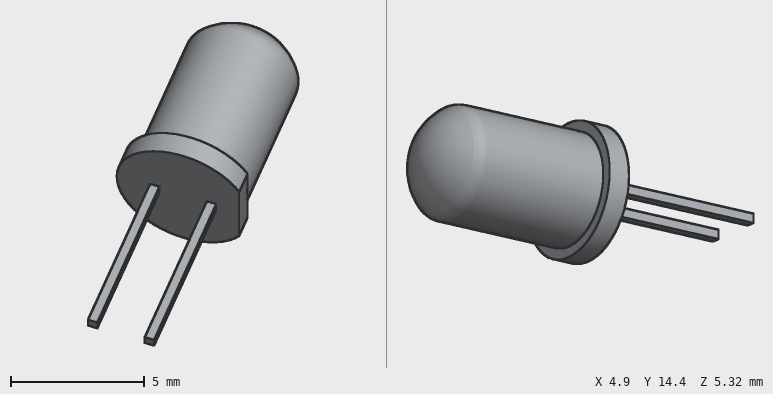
import cadquery as cq

total_length = 14.37

lead_length = 6.64
lead_width = 0.37
lead_spacing = 2.27

flange_diameter = 5.32
flange_thickness = 0.89

body_diameter = 4.48
body_length = 5.32

shoulder_height = 0.47
cap_base_radius = 2.07

body_radius = body_diameter / 2
flange_radius = flange_diameter / 2
flat_x = body_radius

body_end = flange_thickness + body_length
cap_base = body_end + shoulder_height
tip = total_length - lead_length


def make_flange():
    """Disc with a flat on its +X side."""
    disc = cq.Workplane("XZ").circle(flange_radius).extrude(-flange_thickness)
    kept_width = flange_radius + flat_x
    keep = cq.Workplane("XY").box(
        kept_width, flange_thickness, flange_diameter, centered=(False, False, True)
    )
    return disc.intersect(keep.translate((-flange_radius, 0, 0)))


def make_body():
    """Cylinder, shoulder arc tangent to it, and spherical cap revolved about Y."""
    cap_height = tip - cap_base
    cap_radius = (cap_base_radius**2 + cap_height**2) / (2 * cap_height)
    cap_center = tip - cap_radius
    cap_mid_x = cap_base_radius / 2
    cap_mid_y = cap_center + (cap_radius**2 - cap_mid_x**2) ** 0.5
    return (
        cq.Workplane("XY")
        .lineTo(body_radius, 0)
        .lineTo(body_radius, body_end)
        .tangentArcPoint((cap_base_radius, cap_base), relative=False)
        .threePointArc((cap_mid_x, cap_mid_y), (0, tip))
        .close()
        .revolve(360, (0, 0, 0), (0, 1, 0))
    )


def make_leads():
    """Two square leads running from the flange toward -Y."""
    return (
        cq.Workplane("XZ")
        .pushPoints([(-lead_spacing / 2, 0), (lead_spacing / 2, 0)])
        .rect(lead_width, lead_width)
        .extrude(lead_length)
    )


result = make_flange().union(make_body()).union(make_leads())